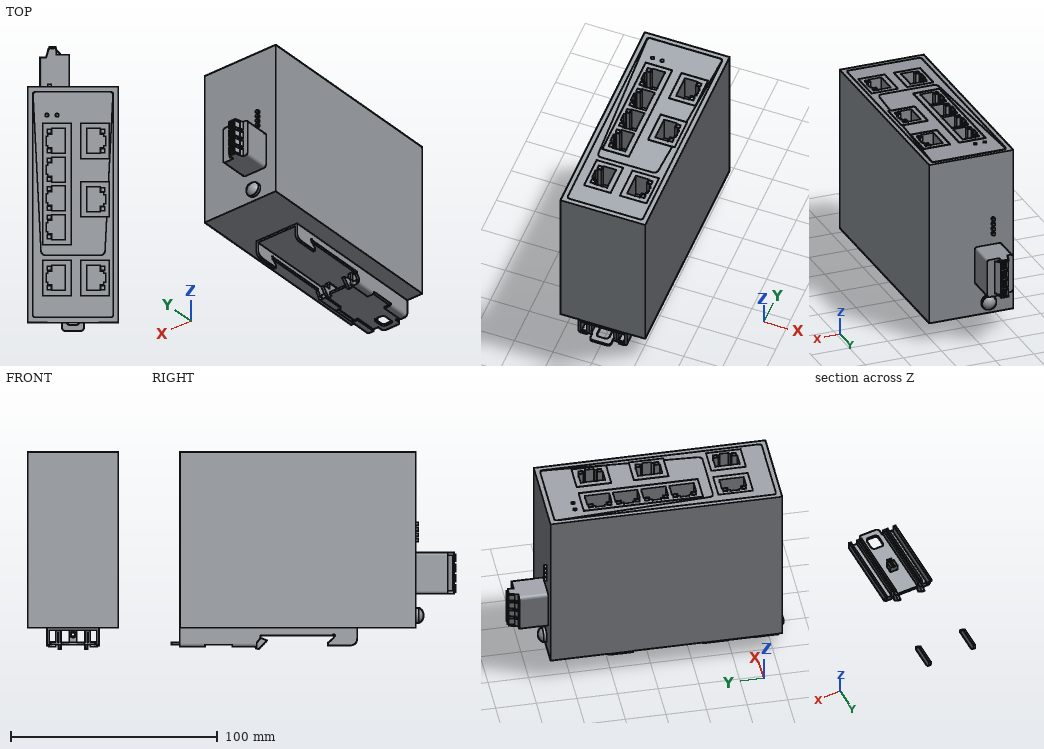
import cadquery as cq


WIDTH = 44.0
LENGTH = 114.0
HEIGHT = 85.2

PANEL_MARGIN = 2.5
PANEL_CORNER = 1.4
STEP = 0.1
LABEL_HALF_BACK = 19.4
LABEL_HALF_FRONT = 15.4
LABEL_FRONT_Y = 32.5
LABEL_CORNER = 2.2
LAMP_X = (-12.6, -7.7)
LAMP_Y = 100.3
LAMP_DIAMETER = 1.6

GROUP_PORTS = 4
PORT_LENGTH = 12.1
PORT_PITCH = 13.9
PORT_DEPTH = 13.7
PORT_NEAR = 4.4
PORT_FAR = 11.0
LATCH_STEP = 2.6
LATCH_END = 1.8
LATCH_STEP_WIDTH = 6.6
LATCH_END_WIDTH = 4.4
PORT_LAMP_SIZE = 1.9
PORT_LAMP_X = 3.2
PORT_LAMP_Y = 4.7
PORT_LAMP_DEPTH = 0.3
BEZEL_WIDTH = 13.7
BEZEL_MARGIN = 2.5
LEFT_BEZEL_X = -14.7
RIGHT_BEZEL_X = 17.6
BACK_BEZEL_Y = 96.3
MIDDLE_BEZEL_Y = 68.1
FRONT_BEZEL_Y = 30.1

PLUG_LEFT = -16.1
PLUG_RIGHT = -1.8
PLUG_BOTTOM = 16.5
PLUG_HEIGHT = 20.0
PLUG_LEFT_ROUND = 1.6
PLUG_RIGHT_ROUND = 1.4
PLUG_LEFT_Y = 128.2
PLUG_RIGHT_Y = 129.5
TONGUE_FOOT_X = -13.0
TONGUE_LEFT = -11.8
TONGUE_RIGHT = -8.1
TONGUE_Y = 132.6
GUSSET_X = -5.9
GUSSET_Y = 131.9
GUSSET_INSET = 1.4
POLES = 4
POLE_PITCH = 5.0
POLE_HEIGHT = 3.6
NUB_X = (-10.9, -8.9)
NUB_WIDTH = 1.1
NUB_Y = 133.3
GROOVE_DEPTH = 0.5
WINDOW_DEPTH = 0.3
WINDOW_START_Y = 129.8

PIN_COUNT = 4
PIN_X = -11.3
PIN_DIAMETER = 1.6
PIN_LENGTH = 1.2
PIN_LOW_Z = 42.5
PIN_PITCH = 2.6
SCREW_X = -8.8
SCREW_Z = 6.0
SCREW_RADIUS = 3.7
SCREW_RIM = 1.5
SCREW_DOME = 2.3

SHEET = 1.2
CHANNEL_HALF = 12.6
CHANNEL_FRONT = -0.1
CHANNEL_BACK = 85.7
CHANNEL_DEPTH = 9.2
CHANNEL_BEND = 1.8
LIP_INNER = 8.2
LIP_GAP_START = 12.2
LIP_GAP_END = 25.3
JAW_DEPTH = 8.5
JAW_ROUND = 3.3
JAW_TIP_Y = 71.6
JAW_ROOT_Y = 74.3
JAW_TIP_DEPTH = 7.1
JAW_ROOT_DEPTH = 4.8
SEAT_DEPTH = 3.7
RELIEF_RADIUS = 0.5
SEAT_FRONT_Y = 39.0
LIP_END_Y = 37.2

SLIDE_BOTTOM = 8.2
LEG_INNER = 5.8
LEG_OUTER = 8.4
LEG_FOLD = 0.5
LEG_SLIT = 0.1
LEG_SLIT_START = 2.2
FOOT_OUTER = 10.7
HANDLE_REACH = 4.1
HANDLE_HALF = 5.4
HANDLE_CORNER = 1.6
HANDLE_HOLE_HALF = 3.2
HANDLE_HOLE_FRONT = 1.1
HANDLE_HOLE_BACK = 6.6
HOOK_DEPTH = 10.3
HOOK_POINTS = [
    (42.2, -6.0),
    (39.5, -5.0),
    (35.7, -5.0),
    (35.7, -8.2),
    (36.8, -9.9),
    (38.0, -HOOK_DEPTH),
]
POST_HALF = 1.9
POST_Y = 19.2
POST_LENGTH = 4.1
SPRING_DEPTH = 3.2
SPRING_RADIUS = 1.5
SPRING_BORE = 1.0
SPRING_OVERHANG = 1.4


def block(x0, x1, y0, y1, z0, z1):
    """Box between two opposite corners."""
    return cq.Workplane("XY").box(x1 - x0, y1 - y0, z1 - z0, centered=False).translate((x0, y0, z0))


def plate(outline, z0, z1):
    """Closed XY outline raised from z0 to z1."""
    return cq.Workplane("XY").workplane(offset=z0).polyline(outline).close().extrude(z1 - z0)


def side_plate(outline, x0, x1):
    """Closed YZ outline spread from x0 to x1."""
    return cq.Workplane("YZ").workplane(offset=x0).polyline(outline).close().extrude(x1 - x0)


def y_rod(x, z, radius, y0, y1):
    """Round rod along Y."""
    return cq.Workplane("XZ", origin=(x, y0, z)).circle(radius).extrude(y0 - y1)


def mirrored(shape):
    """The shape together with its mirror image in X."""
    return shape.union(shape.mirror("YZ"))


def recess_panel(body):
    """Sink the panel, and sink its tapered label field one step further."""
    floor = HEIGHT - STEP
    half = WIDTH / 2 - PANEL_MARGIN
    panel = block(-half, half, PANEL_MARGIN, LENGTH - PANEL_MARGIN, floor, HEIGHT)
    panel = panel.edges("|Z").fillet(PANEL_CORNER)
    label_back = LENGTH - PANEL_MARGIN
    label = plate(
        [
            (-LABEL_HALF_BACK, label_back),
            (LABEL_HALF_BACK, label_back),
            (LABEL_HALF_FRONT, LABEL_FRONT_Y),
            (-LABEL_HALF_FRONT, LABEL_FRONT_Y),
        ],
        floor - STEP,
        HEIGHT,
    )
    label = label.edges("|Z and <Y").fillet(LABEL_CORNER)
    label = label.edges("|Z and >Y").fillet(PANEL_CORNER)
    body = body.cut(panel).cut(label)
    lamps = cq.Workplane("XY").workplane(offset=floor - 2 * STEP)
    lamps = lamps.pushPoints([(x, LAMP_Y) for x in LAMP_X]).circle(LAMP_DIAMETER / 2).extrude(2 * STEP)
    return body.union(lamps)


def port_cutter():
    """Socket and lamp windows of one port; bezel edge on X = 0, port centred on Y = 0."""
    floor = HEIGHT - PORT_DEPTH
    cutter = block(PORT_NEAR, PORT_FAR, -PORT_LENGTH / 2, PORT_LENGTH / 2, floor, HEIGHT)
    for start, width in ((LATCH_STEP, LATCH_STEP_WIDTH), (LATCH_END, LATCH_END_WIDTH)):
        cutter = cutter.union(block(start, PORT_FAR, -width / 2, width / 2, floor, HEIGHT))
    windows = cq.Workplane("XY").workplane(offset=HEIGHT - PORT_LAMP_DEPTH)
    windows = windows.pushPoints([(PORT_LAMP_X, -PORT_LAMP_Y), (PORT_LAMP_X, PORT_LAMP_Y)])
    windows = windows.rect(PORT_LAMP_SIZE, PORT_LAMP_SIZE).extrude(PORT_LAMP_DEPTH)
    return cutter.union(windows)


def add_ports(body, latch_x, back_y, count, latch_on_left):
    """Bezel flush with the housing top, with a row of ports running forward from back_y."""
    inward = 1 if latch_on_left else -1
    x0, x1 = sorted((latch_x, latch_x + inward * BEZEL_WIDTH))
    bezel_length = 2 * BEZEL_MARGIN + PORT_LENGTH + (count - 1) * PORT_PITCH
    body = body.union(block(x0, x1, back_y - bezel_length, back_y, HEIGHT - 3 * STEP, HEIGHT))
    cutter = port_cutter() if latch_on_left else port_cutter().mirror("YZ")
    first_y = back_y - BEZEL_MARGIN - PORT_LENGTH / 2
    for i in range(count):
        body = body.cut(cutter.translate((latch_x, first_y - i * PORT_PITCH, 0)))
    return body


def make_plug():
    """Four-pole plug: rounded block with a tapered tongue, grooves, windows and nubs."""
    top = PLUG_BOTTOM + PLUG_HEIGHT
    middle_x = (TONGUE_LEFT + TONGUE_RIGHT) / 2
    left = block(PLUG_LEFT, middle_x, LENGTH, PLUG_LEFT_Y, PLUG_BOTTOM, top)
    left = left.edges("|Y and <X").fillet(PLUG_LEFT_ROUND)
    right = block(middle_x, PLUG_RIGHT, LENGTH, PLUG_RIGHT_Y, PLUG_BOTTOM, top)
    right = right.edges("|Y and >X").fillet(PLUG_RIGHT_ROUND)
    tongue = plate(
        [
            (TONGUE_FOOT_X, PLUG_LEFT_Y),
            (TONGUE_LEFT, TONGUE_Y),
            (TONGUE_RIGHT, TONGUE_Y),
            (TONGUE_RIGHT, PLUG_LEFT_Y),
        ],
        PLUG_BOTTOM,
        top,
    )
    gusset = plate(
        [(TONGUE_RIGHT, PLUG_RIGHT_Y), (GUSSET_X, PLUG_RIGHT_Y), (TONGUE_RIGHT, GUSSET_Y)],
        PLUG_BOTTOM + GUSSET_INSET,
        top - GUSSET_INSET,
    )

    slope = (TONGUE_LEFT - TONGUE_FOOT_X) / (TONGUE_Y - PLUG_LEFT_Y)

    def slant_band(y0, depth, z, height):
        x0 = TONGUE_FOOT_X + slope * (y0 - PLUG_LEFT_Y)
        outline = [(x0, y0), (TONGUE_LEFT, TONGUE_Y), (TONGUE_LEFT + depth, TONGUE_Y), (x0 + depth, y0)]
        return plate(outline, z - height / 2, z + height / 2)

    middle_z = PLUG_BOTTOM + PLUG_HEIGHT / 2
    pole_z = [middle_z + (i - (POLES - 1) / 2) * POLE_PITCH for i in range(POLES)]
    plug = left.union(right).union(tongue).union(gusset)
    for z in pole_z:
        plug = plug.cut(slant_band(WINDOW_START_Y, WINDOW_DEPTH, z, POLE_HEIGHT))
        for x in NUB_X:
            half = NUB_WIDTH / 2
            nub = block(x - half, x + half, PLUG_LEFT_Y, NUB_Y, z - POLE_HEIGHT / 2, z + POLE_HEIGHT / 2)
            plug = plug.union(nub)
    for z in pole_z[:-1]:
        groove_z = z + POLE_PITCH / 2
        plug = plug.cut(slant_band(PLUG_LEFT_Y, GROOVE_DEPTH, groove_z, POLE_PITCH - POLE_HEIGHT))
    return plug


def make_screw():
    """Ground screw head with a domed end."""
    half_arc = SCREW_RADIUS * 0.5 ** 0.5
    dome_radius = (SCREW_RADIUS ** 2 + SCREW_DOME ** 2) / (2 * SCREW_DOME)
    arc_drop = dome_radius - (dome_radius ** 2 - half_arc ** 2) ** 0.5
    tip = SCREW_RIM + SCREW_DOME
    profile = cq.Workplane("XY").lineTo(SCREW_RADIUS, 0).lineTo(SCREW_RADIUS, SCREW_RIM)
    profile = profile.threePointArc((half_arc, tip - arc_drop), (0, tip)).close()
    return profile.revolve(360, (0, 0, 0), (0, 1, 0)).translate((SCREW_X, LENGTH, SCREW_Z))


def make_channel():
    """Bent-sheet channel whose side walls form the fixed jaw and the rail seat."""
    inner = CHANNEL_HALF - SHEET
    front = block(-CHANNEL_HALF, CHANNEL_HALF, CHANNEL_FRONT, LIP_END_Y, -CHANNEL_DEPTH, 0)
    front = front.edges("|Y and <Z").fillet(CHANNEL_BEND)
    bore = block(-inner, inner, CHANNEL_FRONT, LIP_END_Y, SHEET - CHANNEL_DEPTH, -SHEET)
    bore = bore.edges("|Y and <Z").fillet(CHANNEL_BEND - SHEET)
    slot = block(-LIP_INNER, LIP_INNER, CHANNEL_FRONT, LIP_END_Y, -CHANNEL_DEPTH, -SHEET)
    front = front.cut(bore).cut(slot)
    back = block(-CHANNEL_HALF, CHANNEL_HALF, LIP_END_Y, CHANNEL_BACK, -CHANNEL_DEPTH, 0)
    back = back.cut(block(-inner, inner, LIP_END_Y, CHANNEL_BACK, -CHANNEL_DEPTH, -SHEET))

    side = side_plate(
        [
            (CHANNEL_FRONT, 0),
            (CHANNEL_BACK, 0),
            (CHANNEL_BACK, -JAW_DEPTH),
            (JAW_TIP_Y, -JAW_DEPTH),
            (JAW_TIP_Y, -JAW_TIP_DEPTH),
            (JAW_ROOT_Y, -JAW_ROOT_DEPTH),
            (JAW_ROOT_Y, -SEAT_DEPTH),
            (SEAT_FRONT_Y, -SEAT_DEPTH),
            (SEAT_FRONT_Y, -JAW_ROOT_DEPTH),
            (LIP_END_Y, -JAW_TIP_DEPTH),
            (LIP_END_Y, -CHANNEL_DEPTH),
            (CHANNEL_FRONT, -CHANNEL_DEPTH),
        ],
        -CHANNEL_HALF,
        CHANNEL_HALF,
    )
    side = side.edges("|X and >Y").edges("<Z").fillet(JAW_ROUND)
    relief = cq.Workplane("YZ", origin=(0, JAW_ROOT_Y, -SEAT_DEPTH)).circle(RELIEF_RADIUS)
    side = side.cut(relief.extrude(CHANNEL_HALF, both=True))
    lip_gap = block(
        -CHANNEL_HALF, CHANNEL_HALF, LIP_GAP_START, LIP_GAP_END, -CHANNEL_DEPTH, -SLIDE_BOTTOM
    )
    return front.union(back).intersect(side).cut(lip_gap)


def make_latch():
    """Folded-sheet slide with feet, hooks, a pull handle and a spring post."""
    slide_top = SHEET - SLIDE_BOTTOM
    foot_bottom = SHEET - CHANNEL_DEPTH
    leg = block(LEG_INNER, LEG_OUTER, 0, LIP_END_Y, -SLIDE_BOTTOM, -SHEET)
    leg = leg.edges("|Y and >Z").fillet(LEG_FOLD)
    fold_x = (LEG_INNER + LEG_OUTER) / 2
    slit = block(
        fold_x - LEG_SLIT / 2, fold_x + LEG_SLIT / 2, 0, LIP_END_Y, slide_top, -LEG_SLIT_START
    )
    foot = block(fold_x + LEG_SLIT, FOOT_OUTER, 0, LIP_END_Y, foot_bottom, foot_bottom + SHEET)
    hook = side_plate(HOOK_POINTS, LEG_INNER, fold_x)
    latch = mirrored(leg.cut(slit).union(foot).union(hook))
    latch = latch.union(block(-LEG_INNER, LEG_INNER, 0, LIP_END_Y, -SLIDE_BOTTOM, slide_top))

    handle = block(-HANDLE_HALF, HANDLE_HALF, -HANDLE_REACH, HANDLE_HOLE_BACK, -SLIDE_BOTTOM, slide_top)
    handle = handle.edges("|Z and <Y").fillet(HANDLE_CORNER)
    opening = block(
        -HANDLE_HOLE_HALF, HANDLE_HOLE_HALF, -HANDLE_HOLE_FRONT, HANDLE_HOLE_BACK, -SLIDE_BOTTOM, slide_top
    )
    opening = opening.edges("|Z").fillet(HANDLE_CORNER)
    latch = latch.union(handle).cut(opening)

    post_back = POST_Y + POST_LENGTH
    post = block(-POST_HALF, POST_HALF, POST_Y, post_back, slide_top, -SHEET)
    spring = y_rod(0, -SPRING_DEPTH, SPRING_RADIUS, POST_Y - SPRING_OVERHANG, post_back)
    bore = y_rod(0, -SPRING_DEPTH, SPRING_BORE, POST_Y - SPRING_OVERHANG, post_back)
    return latch.union(post).union(spring).cut(bore)


housing = block(-WIDTH / 2, WIDTH / 2, 0, LENGTH, 0, HEIGHT)
housing = recess_panel(housing)
housing = add_ports(housing, LEFT_BEZEL_X, BACK_BEZEL_Y, GROUP_PORTS, True)
housing = add_ports(housing, LEFT_BEZEL_X, FRONT_BEZEL_Y, 1, True)
for bezel_y in (BACK_BEZEL_Y, MIDDLE_BEZEL_Y, FRONT_BEZEL_Y):
    housing = add_ports(housing, RIGHT_BEZEL_X, bezel_y, 1, False)

result = housing.union(make_plug()).union(make_screw())
for pin in range(PIN_COUNT):
    pin_z = PIN_LOW_Z + pin * PIN_PITCH
    result = result.union(y_rod(PIN_X, pin_z, PIN_DIAMETER / 2, LENGTH, LENGTH + PIN_LENGTH))
result = result.union(make_channel()).union(make_latch())